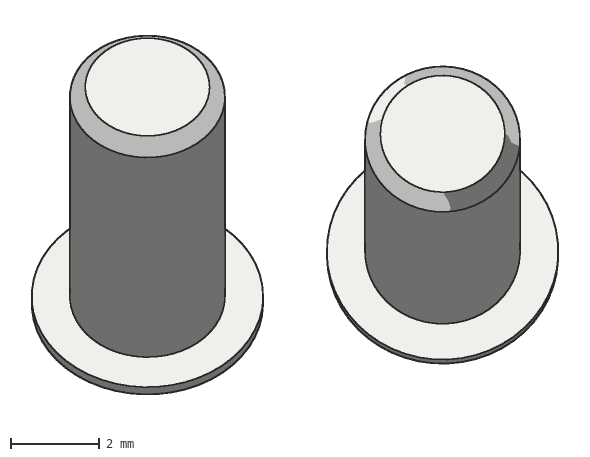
import cadquery as cq

total_height = 7.92
flange_diameter = 5.235
flange_thickness = 0.27
shank_diameter = 3.51
tip_chamfer = 0.35

flange = cq.Workplane("XY").circle(flange_diameter / 2).extrude(flange_thickness)

shank = (
    cq.Workplane("XY")
    .circle(shank_diameter / 2)
    .extrude(total_height)
    .faces(">Z")
    .chamfer(tip_chamfer)
)

result = flange.union(shank)